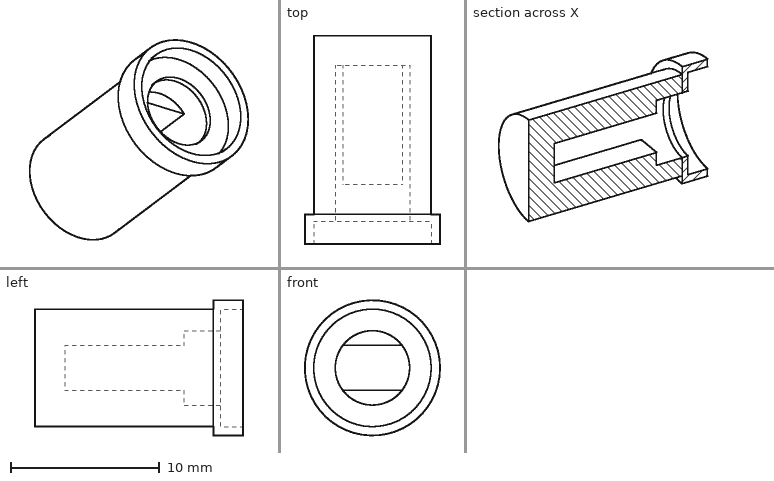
import cadquery as cq

TOTAL_LENGTH = 14.0
CAP_DIAMETER = 9.1
CAP_LENGTH = 2.0
TUBE_DIAMETER = 7.9
BORE_DIAMETER = 5.0

WEB_THICKNESS = 0.46
RECESS_DEPTH = CAP_LENGTH - WEB_THICKNESS

TUBE_LENGTH = TOTAL_LENGTH - CAP_LENGTH
ROUND_BORE_DEPTH = 2.0
FLATS_DISTANCE = 3.01
END_WALL = 2.0
FLATTED_BORE_LENGTH = TUBE_LENGTH - ROUND_BORE_DEPTH - END_WALL


def cylinder(diameter, start, length):
    """Cylinder about the Y axis, running from Y = start toward +Y."""
    plane = cq.Workplane("XZ", origin=(0, start, 0))
    return plane.circle(diameter / 2).extrude(-length)


def make_cap():
    """Ring with a wide front recess and a bored web against the tube."""
    body = cylinder(CAP_DIAMETER, 0, CAP_LENGTH)
    recess = cylinder(TUBE_DIAMETER, 0, RECESS_DEPTH)
    bore = cylinder(BORE_DIAMETER, 0, CAP_LENGTH)
    return body.cut(recess).cut(bore)


def make_flatted_bore():
    """Bore cut-out limited above and below by two parallel flats."""
    start = CAP_LENGTH + ROUND_BORE_DEPTH
    slab = (
        cq.Workplane("XZ", origin=(0, start, 0))
        .rect(BORE_DIAMETER, FLATS_DISTANCE)
        .extrude(-FLATTED_BORE_LENGTH)
    )
    return cylinder(BORE_DIAMETER, start, FLATTED_BORE_LENGTH).intersect(slab)


def make_tube():
    """Closed-end tube whose open end sits against the back of the cap."""
    body = cylinder(TUBE_DIAMETER, CAP_LENGTH, TUBE_LENGTH)
    round_bore = cylinder(BORE_DIAMETER, CAP_LENGTH, ROUND_BORE_DEPTH)
    return body.cut(round_bore).cut(make_flatted_bore())


cap = make_cap()
tube = make_tube()

result = cq.Compound.makeCompound([cap.val(), tube.val()])